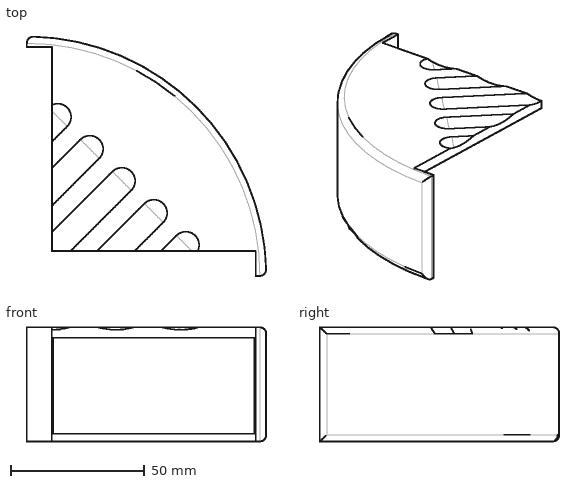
import math

import cadquery as cq

outer_radius = 90.0
height = 43.0
wall_thickness = 4.0
top_thickness = 4.0
floor_thickness = 3.0
edge_fillet = 2.5
diagonal_angle = 45.0

flange_length = 9.4

groove_count = 5
groove_pitch = 17.0
groove_width = 10.0
groove_depth = 1.0
groove_end_distance = 50.5

inner_radius = outer_radius - wall_thickness
cavity_height = height - top_thickness - floor_thickness
groove_radius = ((groove_width / 2) ** 2 + groove_depth**2) / (2 * groove_depth)


def quarter_disc(radius, bottom, thickness):
    """Quarter cylinder in the +X +Y quadrant."""
    mid = radius * math.cos(math.radians(diagonal_angle))
    return (
        cq.Workplane("XY")
        .workplane(offset=bottom)
        .lineTo(radius, 0)
        .threePointArc((mid, mid), (0, radius))
        .close()
        .extrude(thickness)
    )


def rounded_blank():
    """Full-height quarter disc with its round face filleted all the way around."""
    blank = quarter_disc(outer_radius, 0, height)
    return blank.faces("%CYLINDER").edges().fillet(edge_fillet)


def flange_notch():
    """L-shaped prism that clears the inner side of both end flanges."""
    along_x = cq.Workplane("XY").box(inner_radius, flange_length, height, centered=False)
    along_y = cq.Workplane("XY").box(flange_length, inner_radius, height, centered=False)
    return along_x.union(along_y)


def corner_clearance():
    """Corner-cropped triangular prism that cuts everything below the top plate back to the diagonal."""
    leg = inner_radius + flange_length
    below_top = height - top_thickness
    triangle = cq.Workplane("XY").polyline([(0, 0), (leg, 0), (0, leg)]).close().extrude(below_top)
    inside_flanges = cq.Workplane("XY").box(inner_radius, inner_radius, below_top, centered=False)
    return triangle.intersect(inside_flanges)


def finger_groove(offset):
    """Round-bottomed groove with a spherical end, shifted sideways from the diagonal."""
    axis_height = height + groove_radius - groove_depth
    barrel = (
        cq.Workplane("YZ", origin=(groove_end_distance, offset, axis_height))
        .circle(groove_radius)
        .extrude(-outer_radius)
    )
    end_ball = cq.Workplane("XY").sphere(groove_radius).translate(
        (groove_end_distance, offset, axis_height)
    )
    return barrel.union(end_ball).rotate((0, 0, 0), (0, 0, 1), diagonal_angle)


result = rounded_blank()
result = result.cut(flange_notch())
result = result.cut(corner_clearance())
result = result.cut(quarter_disc(inner_radius, floor_thickness, cavity_height))
for index in range(groove_count):
    groove_offset = (index - (groove_count - 1) / 2) * groove_pitch
    result = result.cut(finger_groove(groove_offset))